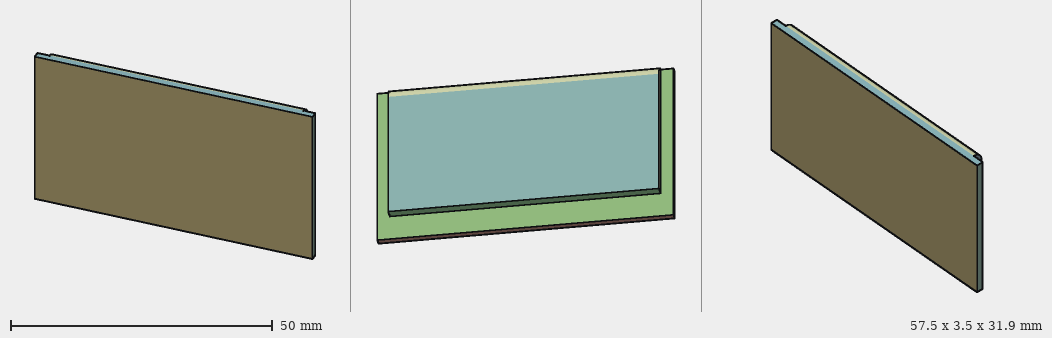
import cadquery as cq

plate_width = 57.55
plate_height = 31.85
plate_thickness = 1.5

pad_depth = 2.0
pad_side_margin = 2.5
pad_bottom_margin = 4.9
pad_width = plate_width - 2 * pad_side_margin
total_depth = plate_thickness + pad_depth
round_radius = pad_depth

plate = cq.Workplane("XY").box(
    plate_width, plate_thickness, plate_height, centered=(True, False, False)
)

pad = (
    cq.Workplane("YZ")
    .moveTo(plate_thickness, pad_bottom_margin)
    .lineTo(total_depth, pad_bottom_margin)
    .lineTo(total_depth, plate_height - round_radius)
    .radiusArc((plate_thickness, plate_height), -round_radius)
    .close()
    .extrude(pad_width / 2, both=True)
)

result = plate.union(pad)